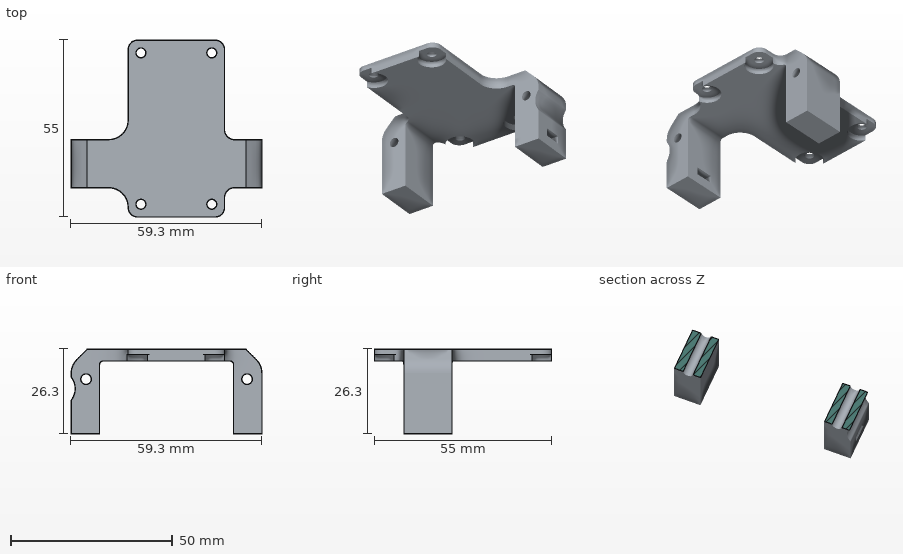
import math

import cadquery as cq

total_width = 59.3
total_depth = 55.0
total_height = 26.29
leg_width = 8.9
leg_front = 9.1
leg_depth = 15.0
plate_thickness = 3.7
shoulder_chamfer = 5.0
shoulder_radius = 6.0
inner_corner_radius = 1.0

plate_left = 17.7
plate_width = 30.0
plate_corner_radius = 3.0
left_blend_radius = 6.0
right_blend_radius = 3.0
plate_hole_diameter = 3.0
plate_hole_inset = 4.0
relief_diameter = 9.0
relief_depth = 2.0

groove_drop = 12.25
groove_depth = 1.25
groove_radius = 5.75
groove_edge_radius = 1.25

leg_hole_diameter = 3.2
leg_hole_inset = 4.65
leg_hole_drop = 9.3
slot_length = 6.0
slot_height = 2.6
slot_bottom = 3.3

plate_right = plate_left + plate_width
leg_back = leg_front + leg_depth
leg_middle = leg_front + leg_depth / 2
plate_underside = total_height - plate_thickness


def make_arch():
    """U-shaped arch with sloped, rounded shoulders, extruded over the full depth."""
    body = cq.Workplane("XY").box(total_width, total_depth, total_height, centered=False)
    body = body.edges("|Y and >Z").chamfer(shoulder_chamfer)

    shoulder_height = total_height - shoulder_chamfer
    for side in (0, total_width):
        lower_edge = cq.selectors.NearestToPointSelector((side, total_depth / 2, shoulder_height))
        body = body.edges(lower_edge).fillet(shoulder_radius)

    opening = cq.Workplane("XY").box(
        total_width - 2 * leg_width, total_depth, plate_underside, centered=False
    )
    opening = opening.edges("|Y and >Z").fillet(inner_corner_radius)
    return body.cut(opening.translate((leg_width, 0, 0)))


def make_footprint():
    """Plate crossed by the leg band, with rounded corners and blended inner corners."""
    plate = cq.Workplane("XY").box(plate_width, total_depth, total_height, centered=False)
    plate = plate.edges("|Z").fillet(plate_corner_radius).translate((plate_left, 0, 0))
    band = cq.Workplane("XY").box(total_width, leg_depth, total_height, centered=False)
    footprint = plate.union(band.translate((0, leg_front, 0)))

    for x, outward, radius in (
        (plate_left, -1, left_blend_radius),
        (plate_right, 1, right_blend_radius),
    ):
        for y, away in ((leg_front, -1), (leg_back, 1)):
            footprint = footprint.union(make_blend(x, y, outward, away, radius))
    return footprint


def make_blend(x, y, outward, away, radius):
    """Concave quarter-round blend that fills one inner corner of the footprint."""
    on_band = (x + outward * radius, y)
    on_plate = (x, y + away * radius)
    sagitta = radius * (1 - math.sqrt(0.5))
    middle = (x + outward * sagitta, y + away * sagitta)
    return (
        cq.Workplane("XY")
        .moveTo(x, y)
        .lineTo(*on_band)
        .threePointArc(middle, on_plate)
        .close()
        .extrude(total_height)
    )


def make_groove():
    """Shallow concave groove with rounded lips, running along Y."""
    center_z = total_height - groove_drop
    axis_x = groove_depth - groove_radius
    lip_dx = groove_edge_radius - axis_x
    lip_distance = groove_radius + groove_edge_radius
    lip_dz = math.sqrt(lip_distance**2 - lip_dx**2)
    lip_angle = math.atan2(lip_dz, lip_dx)

    join_x = axis_x + groove_radius * math.cos(lip_angle)
    join_dz = groove_radius * math.sin(lip_angle)
    half_x = groove_edge_radius * (1 - math.cos(lip_angle / 2))
    half_dz = lip_dz - groove_edge_radius * math.sin(lip_angle / 2)
    return (
        cq.Workplane("XZ")
        .moveTo(0, center_z - lip_dz)
        .threePointArc((half_x, center_z - half_dz), (join_x, center_z - join_dz))
        .threePointArc((groove_depth, center_z), (join_x, center_z + join_dz))
        .threePointArc((half_x, center_z + half_dz), (0, center_z + lip_dz))
        .close()
        .extrude(-total_depth)
    )


def make_plate_holes():
    """Corner screw holes, each with a round relief in the underside."""
    centers = [
        (x, y)
        for x in (plate_left + plate_hole_inset, plate_right - plate_hole_inset)
        for y in (plate_hole_inset, total_depth - plate_hole_inset)
    ]
    holes = cq.Workplane("XY").pushPoints(centers).circle(plate_hole_diameter / 2).extrude(total_height)
    reliefs = (
        cq.Workplane("XY", origin=(0, 0, plate_underside))
        .pushPoints(centers)
        .circle(relief_diameter / 2)
        .extrude(relief_depth)
    )
    return holes.union(reliefs)


def make_leg_holes():
    """One hole along Y through each leg."""
    hole_z = total_height - leg_hole_drop
    return (
        cq.Workplane("XZ")
        .pushPoints([(leg_hole_inset, hole_z), (total_width - leg_hole_inset, hole_z)])
        .circle(leg_hole_diameter / 2)
        .extrude(-total_depth)
    )


def make_slot():
    """Rectangular slot along X through the left leg."""
    slot = cq.Workplane("XY").box(leg_width, slot_length, slot_height, centered=(False, True, False))
    return slot.translate((0, leg_middle, slot_bottom))


result = (
    make_arch()
    .intersect(make_footprint())
    .cut(make_groove())
    .cut(make_plate_holes())
    .cut(make_leg_holes())
    .cut(make_slot())
)